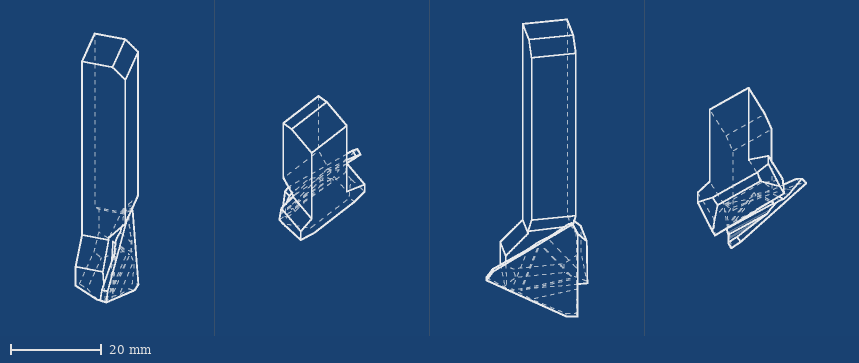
import cadquery as cq
import math

total_height = 70.1
shank_width = 9.95
half_shank = shank_width / 2

holder_bottom = 6.8
shoulder_height = 20.2
head_front = 10.0
head_back = 8.05
top_chamfer = 2.95
relief_top = 25.8
relief_slope = 1.31
bottom_chamfer_depth = 1.75
bottom_chamfer_height = 1.2
corner_slope_x = 0.58
front_corner_height = 2.9
front_corner_slope = 0.6
back_corner_height = 3.7
back_corner_slope = 0.66

insert_thickness = 2.0
insert_centre_x = 8.9
insert_centre_y = -1.6
insert_centre_z = 11.15
tilt_y = 0.039
tilt_z = 0.068
side_relief = 6.0
tip_count = 3
tip_radius = 13.2
tip_angle = -57.9
heel_radius = 11.8
heel_angle = -67.7

tip_thickness = 1.5
rake_length = 3.5
rake_thickness = 1.0
groove_length = 4.8
groove_thickness = 0.8
ramp_skew = 8.7
ramp_start = 6.4
ramp_bend = 7.15
ramp_bend_thickness = 1.05
ramp_end = 8.7
ramp_end_thickness = 1.3

clearance_size = 42.1


insert_plane = cq.Plane(
    origin=(insert_centre_x, insert_centre_y, insert_centre_z),
    xDir=(tilt_y, 1, 0),
    normal=(1, -tilt_y, tilt_z),
)


def polar(radius, angle):
    return (radius * math.cos(math.radians(angle)), radius * math.sin(math.radians(angle)))


def insert_blank():
    outline = []
    for tip in range(tip_count):
        turn = tip * 360 / tip_count
        outline.append(polar(heel_radius, heel_angle + turn))
        outline.append(polar(tip_radius, tip_angle + turn))
    return cq.Workplane("XY").polyline(outline).close().extrude(-insert_thickness, taper=side_relief)


def tip_relief():
    """Material removed from the seat side of the first tip, up to the edge of the hub."""
    tip_x, tip_y = polar(tip_radius, tip_angle)
    below = -2 * insert_thickness
    rake_and_groove = [
        (-clearance_size, below),
        (-clearance_size, -tip_thickness),
        (0, -tip_thickness),
        (rake_length, -rake_thickness),
        (groove_length, -groove_thickness),
        (clearance_size, -groove_thickness),
        (clearance_size, below),
    ]
    groove_space = cq.Workplane("YZ").polyline(rake_and_groove).close().extrude(clearance_size, both=True)
    ramp_and_hub = [
        (-clearance_size, below),
        (-clearance_size, 0),
        (ramp_start, 0),
        (ramp_start, -groove_thickness),
        (ramp_bend, -ramp_bend_thickness),
        (ramp_end, -ramp_end_thickness),
        (ramp_end, below),
    ]
    ramp_space = cq.Workplane("YZ").polyline(ramp_and_hub).close().extrude(clearance_size, both=True)
    ramp_space = ramp_space.rotate((0, 0, 0), (0, 0, 1), ramp_skew)
    return groove_space.intersect(ramp_space).translate((tip_x, tip_y, 0))


def make_insert():
    insert = insert_blank()
    relief = tip_relief()
    for tip in range(tip_count):
        insert = insert.cut(relief.rotate((0, 0, 0), (0, 0, 1), tip * 360 / tip_count))
    return insert.val().moved(cq.Location(insert_plane))


def holder_blank():
    front_run = head_front - half_shank
    back_run = head_back - half_shank
    outline = [
        (-half_shank, total_height),
        (-half_shank, shoulder_height),
        (-head_front, shoulder_height - front_run),
        (-head_front, holder_bottom),
        (head_back, holder_bottom),
        (head_back, shoulder_height - back_run),
        (half_shank, shoulder_height),
        (half_shank, total_height),
    ]
    return cq.Workplane("YZ").polyline(outline).close().extrude(shank_width)


def top_edge():
    outline = [
        (shank_width, total_height),
        (shank_width - top_chamfer, total_height),
        (shank_width, total_height - top_chamfer),
    ]
    return cq.Workplane("XZ").polyline(outline).close().extrude(clearance_size, both=True)


def seat_clearance():
    """Space outside the tilted seat plane and below the slope that leads down to it."""
    below_slope = [
        (0, relief_top - relief_slope * shank_width),
        (shank_width, relief_top),
        (shank_width, 0),
        (0, 0),
    ]
    slope_space = cq.Workplane("XZ").polyline(below_slope).close().extrude(clearance_size, both=True)
    seat_space = (
        cq.Workplane(insert_plane)
        .workplane(offset=-insert_thickness)
        .rect(clearance_size, clearance_size)
        .extrude(clearance_size)
    )
    return slope_space.intersect(seat_space)


def bottom_chamfer():
    outline = [
        (0, holder_bottom),
        (bottom_chamfer_depth, holder_bottom),
        (0, holder_bottom + bottom_chamfer_height),
    ]
    return cq.Workplane("XZ").polyline(outline).close().extrude(clearance_size, both=True)


def corner_bevel(side_y, height, slope_y):
    """Half-space below a plane that slopes along X and Y from a lower corner."""
    outward = math.copysign(1, side_y)
    plane = cq.Plane(
        origin=(0, side_y, holder_bottom + height),
        xDir=(1, 0, -corner_slope_x),
        normal=(-corner_slope_x, outward * slope_y, -1),
    )
    return cq.Workplane(plane).rect(clearance_size, clearance_size).extrude(clearance_size)


def make_holder(insert):
    holder = holder_blank().cut(top_edge()).cut(seat_clearance()).cut(bottom_chamfer())
    holder = holder.cut(corner_bevel(-head_front, front_corner_height, front_corner_slope))
    holder = holder.cut(corner_bevel(head_back, back_corner_height, back_corner_slope))
    return holder.cut(cq.Workplane(insert))


insert = make_insert()
holder = make_holder(insert)
result = cq.Compound.makeCompound([holder.val(), insert])